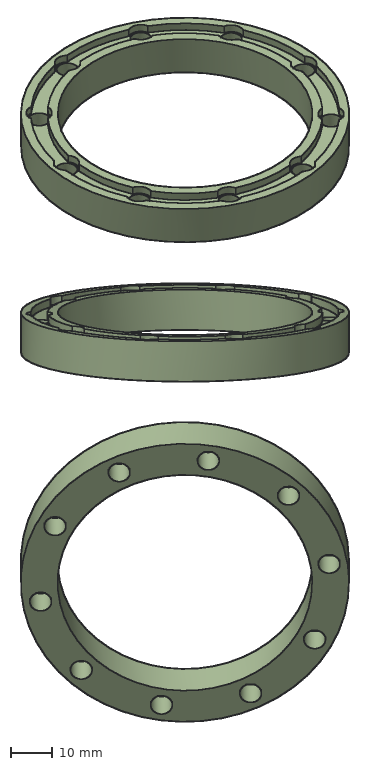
import cadquery as cq

outer_diameter = 80.0
bore_diameter = 62.0
thickness = 10.0

groove_outer_diameter = 75.2
groove_inner_diameter = 67.0
groove_depth = 2.0

hole_count = 10
hole_diameter = 5.3
counterbore_diameter = 6.2
bolt_circle_diameter = (groove_outer_diameter + groove_inner_diameter) / 2
first_hole_angle = 90.0


def annulus(outer, inner, height, base_z):
    """Flat ring standing on the given height."""
    plane = cq.Workplane("XY").workplane(offset=base_z)
    return plane.circle(outer / 2).circle(inner / 2).extrude(height)


def bolt_cylinders(diameter, height, base_z):
    """Equal cylinders at every bolt position."""
    plane = cq.Workplane("XY").workplane(offset=base_z)
    centers = plane.polarArray(bolt_circle_diameter / 2, first_hole_angle, 360, hole_count)
    return centers.circle(diameter / 2).extrude(height)


groove_floor = thickness - groove_depth

ring = annulus(outer_diameter, bore_diameter, thickness, 0)
groove = annulus(groove_outer_diameter, groove_inner_diameter, groove_depth, groove_floor)
through_holes = bolt_cylinders(hole_diameter, thickness, 0)
counterbores = bolt_cylinders(counterbore_diameter, groove_depth, groove_floor)

result = ring.cut(groove).cut(through_holes).cut(counterbores)